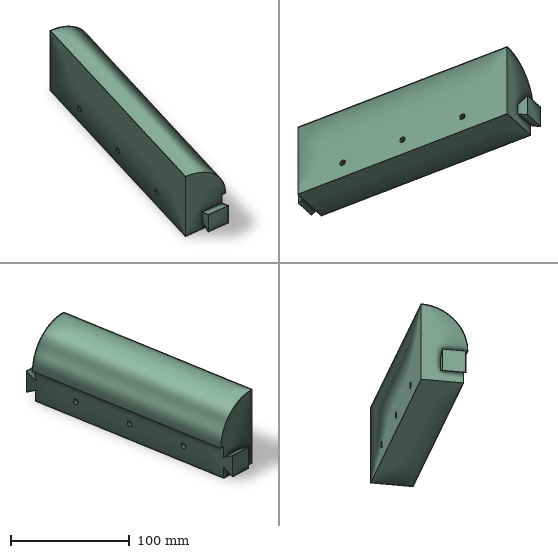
import cadquery as cq

total_length = 230.0
depth = 40.0
height = 70.0
body_length = 210.0

round_radius = depth
ledge_height = height - round_radius
ledge_recess = 3.7
back_face = depth - ledge_recess

tail_depth = 20.0
tail_outer_height = 20.0
tail_root_height = 10.0

hole_diameter = 5.0
hole_spacing = 60.0
feature_height = 15.0
hole_count = 3


def make_body():
    """Extrude the quarter-round profile along X, with the front face at Y = 0."""
    arc_mid = round_radius * 0.5**0.5
    return (
        cq.Workplane("YZ")
        .moveTo(0, 0)
        .lineTo(back_face, 0)
        .lineTo(back_face, ledge_height)
        .lineTo(depth, ledge_height)
        .threePointArc((arc_mid, ledge_height + arc_mid), (0, height))
        .close()
        .extrude(body_length / 2, both=True)
    )


def make_tail(side):
    """Dovetail flush with the recessed back face; side is -1 or +1 along X."""
    root_x = side * body_length / 2
    tip_x = side * total_length / 2
    return (
        cq.Workplane("XZ", origin=(0, back_face, feature_height))
        .polyline([
            (root_x, -tail_root_height / 2),
            (tip_x, -tail_outer_height / 2),
            (tip_x, tail_outer_height / 2),
            (root_x, tail_root_height / 2),
        ])
        .close()
        .extrude(tail_depth)
    )


def make_holes():
    """Cylinders running through the full depth along Y."""
    return (
        cq.Workplane("XZ", origin=(0, 0, feature_height))
        .rarray(hole_spacing, 2.3, hole_count, 1)
        .circle(hole_diameter / 2)
        .extrude(-depth)
    )


result = make_body()
for end in (-1, 1):
    result = result.union(make_tail(end))
result = result.cut(make_holes())